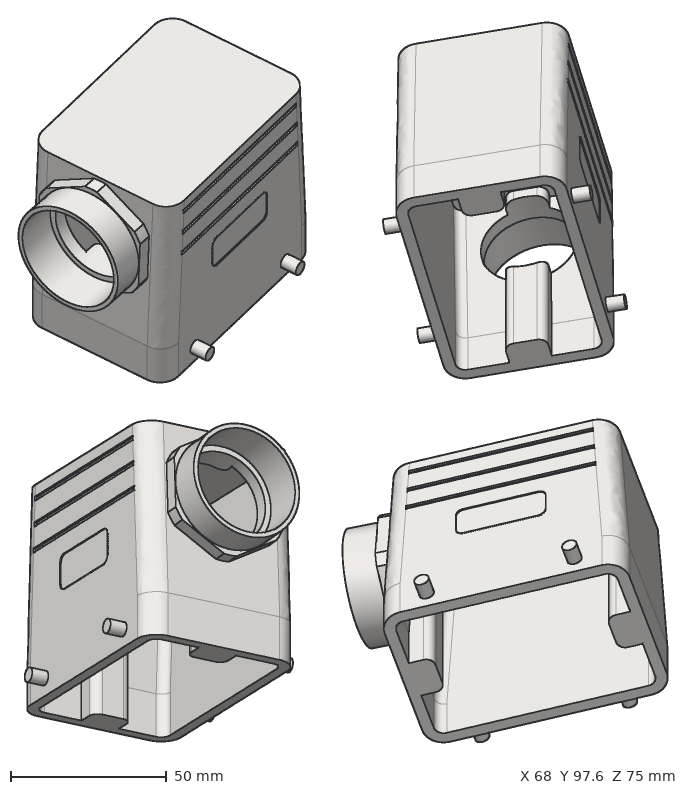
import cadquery as cq
import math

OVERALL_LENGTH = 97.6

BODY_WIDTH = 56.0
BODY_LENGTH = 82.1
BODY_HEIGHT = 75.0
SKIRT_HEIGHT = 14.9
CORNER_RADIUS = 7.2
DRAFT_ANGLE = math.radians(3.0)
DRAFT_SLOPE = math.tan(DRAFT_ANGLE)

WALL = 3.9
CAVITY_WIDTH = BODY_WIDTH - 2 * WALL
CAVITY_RADIUS = CORNER_RADIUS - WALL
CAVITY_HEIGHT = BODY_HEIGHT - WALL

RIB_WIDTH = 14.0
RIB_EDGE_RADIUS = 3.1
RIB_PROJECTION = 4.9

GROOVE_DEPTH = 0.8
GROOVE_WIDTH = 1.5
GROOVE_PITCH = 8.8
TOP_GROOVE_DROP = 4.8
GROOVE_COUNT = 3

PANEL_LENGTH = 30.1
PANEL_HEIGHT = 12.2
PANEL_RADIUS = 2.5
PANEL_DEPTH = 0.4
PANEL_CENTRE_Z = 39.0

PIN_DIAMETER = 4.9
PIN_SPACING = 49.6
PIN_CENTRE_Z = 6.2
PIN_SPAN = 68.0

GLAND_CENTRE_Z = 52.0
HEX_ACROSS_FLATS = 39.8
HEX_ACROSS_CORNERS = 43.5
HEX_THICKNESS = 5.0
COLLAR_DIAMETER = 39.4
MOUTH_DIAMETER = 36.2
MOUTH_DEPTH = 15.3
BORE_DIAMETER = 32.0
BORE_REACH = 14.6
GLAND_EMBED = WALL / 2


def half_length(z):
    """Distance from the middle of the body to its end wall at height z."""
    return BODY_LENGTH / 2 - max(0, z - SKIRT_HEIGHT) * DRAFT_SLOPE


RIM_OVERHANG = OVERALL_LENGTH - BODY_LENGTH / 2 - half_length(GLAND_CENTRE_Z)
RIM_LEAN = COLLAR_DIAMETER / 2 * math.sin(DRAFT_ANGLE)
GLAND_LENGTH = (RIM_OVERHANG - RIM_LEAN) / math.cos(DRAFT_ANGLE)


def rounded_prism(width, end_inset, radius, height):
    """Straight skirt with a drafted upper part, corner radius constant all the way up."""

    def section(z):
        length = 2 * (half_length(z) - end_inset)
        outline = cq.Sketch().rect(width, length).vertices().fillet(radius)
        return outline.moved(cq.Location(cq.Vector(0, 0, z)))

    skirt = cq.Workplane("XY").placeSketch(section(0)).extrude(SKIRT_HEIGHT)
    upper = cq.Workplane("XY").placeSketch(section(SKIRT_HEIGHT), section(height)).loft(ruled=True)
    return skirt.union(upper)


def end_ribs():
    """Matching ribs with vertical faces, standing clear of the tapering end walls."""
    face_y = half_length(BODY_HEIGHT) - WALL - RIB_PROJECTION
    root_y = BODY_LENGTH / 2
    rear_rib = (
        cq.Workplane("XY")
        .center(0, (face_y + root_y) / 2)
        .rect(RIB_WIDTH, root_y - face_y)
        .extrude(BODY_HEIGHT)
        .edges("|Z and <Y")
        .fillet(RIB_EDGE_RADIUS)
    )
    return rear_rib.union(rear_rib.mirror("XZ"))


def hood():
    outside = rounded_prism(BODY_WIDTH, 0, CORNER_RADIUS, BODY_HEIGHT)
    cavity = rounded_prism(CAVITY_WIDTH, WALL, CAVITY_RADIUS, CAVITY_HEIGHT)
    return outside.cut(cavity.cut(end_ribs()))


def side_grooves():
    """Grooves end where the flat side meets the rounded corners."""
    grooves = cq.Workplane("XY")
    for side in (-1, 1):
        for index in range(GROOVE_COUNT):
            z = BODY_HEIGHT - TOP_GROOVE_DROP - index * GROOVE_PITCH
            length = 2 * (half_length(z) - CORNER_RADIUS)
            groove = cq.Workplane("XY").box(2 * GROOVE_DEPTH, length, GROOVE_WIDTH)
            grooves = grooves.union(groove.translate((side * BODY_WIDTH / 2, 0, z)))
    return grooves


def side_panels():
    panel = (
        cq.Workplane("XY")
        .box(2 * PANEL_DEPTH, PANEL_LENGTH, PANEL_HEIGHT)
        .edges("|X")
        .fillet(PANEL_RADIUS)
        .translate((0, 0, PANEL_CENTRE_Z))
    )
    left = panel.translate((-BODY_WIDTH / 2, 0, 0))
    right = panel.translate((BODY_WIDTH / 2, 0, 0))
    return left.union(right)


def locking_pins():
    """Two pins on each long side, rooted in the side wall."""
    length = (PIN_SPAN - CAVITY_WIDTH) / 2
    pins = cq.Workplane("XY")
    for start_x in (-PIN_SPAN / 2, CAVITY_WIDTH / 2):
        pins = pins.union(
            cq.Workplane("YZ", origin=(start_x, 0, PIN_CENTRE_Z))
            .pushPoints([(-PIN_SPACING / 2, 0), (PIN_SPACING / 2, 0)])
            .circle(PIN_DIAMETER / 2)
            .extrude(length)
        )
    return pins


def gland_plane():
    """Plane on the outside of the front wall, its normal along the gland axis."""
    return cq.Plane(
        origin=(0, -half_length(GLAND_CENTRE_Z), GLAND_CENTRE_Z),
        xDir=(1, 0, 0),
        normal=(0, -math.cos(DRAFT_ANGLE), math.sin(DRAFT_ANGLE)),
    )


def gland():
    """Hexagon with rounded corners, carrying a round collar."""
    corner_to_corner = HEX_ACROSS_FLATS / math.cos(math.pi / 6)
    base = cq.Workplane(gland_plane()).workplane(offset=-GLAND_EMBED)
    hex_height = HEX_THICKNESS + GLAND_EMBED
    hexagon = base.transformed(rotate=(0, 0, 90)).polygon(6, corner_to_corner).extrude(hex_height)
    rounding = base.circle(HEX_ACROSS_CORNERS / 2).extrude(hex_height)
    collar = base.circle(COLLAR_DIAMETER / 2).extrude(GLAND_LENGTH + GLAND_EMBED)
    return hexagon.intersect(rounding).union(collar)


def gland_bore():
    """Wide mouth stepping down to the bore through the front wall."""
    rim = cq.Workplane(gland_plane()).workplane(offset=GLAND_LENGTH)
    bore_depth = GLAND_LENGTH + BORE_REACH
    mouth = rim.circle(MOUTH_DIAMETER / 2).extrude(-MOUTH_DEPTH)
    return mouth.union(rim.circle(BORE_DIAMETER / 2).extrude(-bore_depth))


result = (
    hood()
    .cut(side_grooves())
    .cut(side_panels())
    .union(locking_pins())
    .union(gland())
    .cut(gland_bore())
)